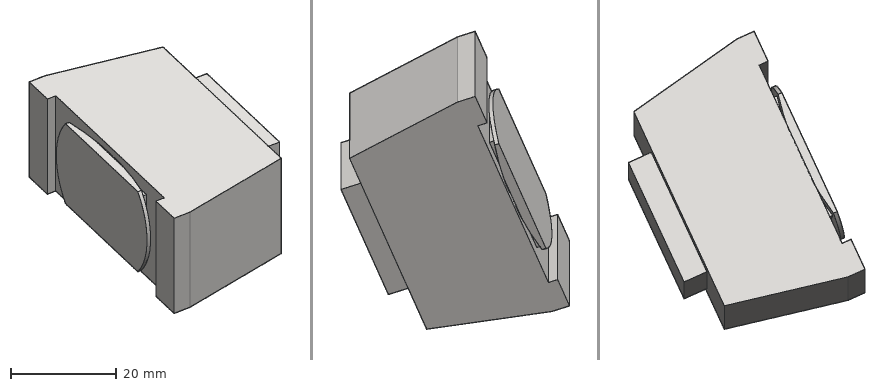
import cadquery as cq
import math

front_width = 50.8
back_width = 41.45
housing_height = 22.85
housing_depth = 27.35
straight_depth = 3.6
notch_width = 38.0
notch_depth = 1.9

overall_depth = 32.1
bar_width = 25.5
bar_height = 16.4

lens_diameter = 31.8
lens_height = 19.2
lens_edge = 0.8
dome_radius = 63.5

lens_radius = lens_diameter / 2
dome_rise = dome_radius - math.sqrt(dome_radius**2 - lens_radius**2)
lens_thickness = lens_edge + dome_rise


def make_lens():
    """Plano-convex disc facing Y, flat side at Y = 0, cut flat at top and bottom."""
    half_height = lens_height / 2
    half_chord = math.sqrt(lens_radius**2 - half_height**2)
    blank = (
        cq.Workplane("XZ")
        .moveTo(-half_chord, -half_height)
        .lineTo(half_chord, -half_height)
        .threePointArc((lens_radius, 0), (half_chord, half_height))
        .lineTo(-half_chord, half_height)
        .threePointArc((-lens_radius, 0), (-half_chord, -half_height))
        .close()
        .extrude(-lens_thickness)
    )
    dome = cq.Workplane("XY").sphere(dome_radius).translate((0, lens_thickness - dome_radius, 0))
    return blank.intersect(dome)


def make_bar():
    """Rectangular bar from behind the lens rim to the back of the part."""
    bar = cq.Workplane("XY").box(
        bar_width, overall_depth - lens_edge, bar_height, centered=(True, False, True)
    )
    return bar.translate((0, lens_edge, 0))


def make_block():
    """Tapered block with a shallow notch across its front."""
    block = (
        cq.Workplane("XY", origin=(0, 0, -housing_height / 2))
        .moveTo(-front_width / 2, 0)
        .lineTo(front_width / 2, 0)
        .lineTo(front_width / 2, straight_depth)
        .lineTo(back_width / 2, housing_depth)
        .lineTo(-back_width / 2, housing_depth)
        .lineTo(-front_width / 2, straight_depth)
        .close()
        .extrude(housing_height)
    )
    notch = cq.Workplane("XY").box(notch_width, 2 * notch_depth, housing_height)
    return block.cut(notch)


def make_housing(lens):
    """Block and bar as one piece, with a hollow seat that fits the lens dome."""
    return make_block().union(make_bar()).cut(lens)


lens = make_lens()
housing = make_housing(lens)

result = cq.Compound.makeCompound([housing.solids().val(), lens.solids().val()])